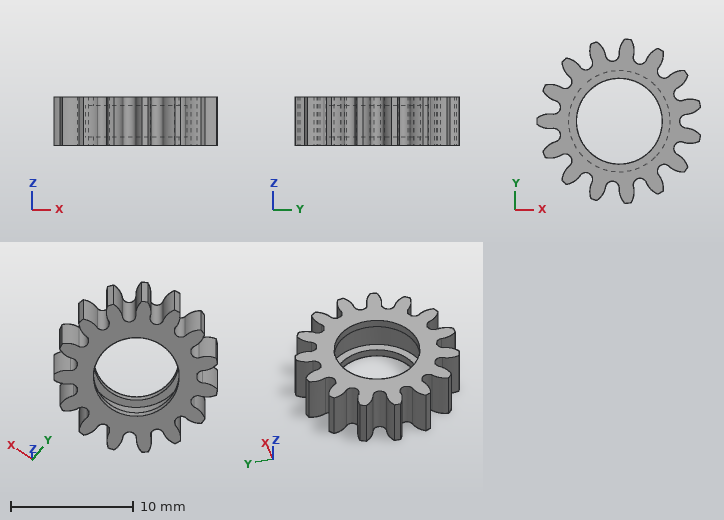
import cadquery as cq
import math

tooth_count = 15
face_width = 4.0
tip_radius = 6.75
root_radius = 4.95

tip_half_width = 0.25
flank_mid_x = 6.09
flank_mid_half_width = 0.57
flank_foot_x = 5.39
flank_foot_half_width = 0.59

bore_diameter = 7.0
groove_diameter = 8.3
lip_thickness = 0.7

tooth_pitch = 2 * math.pi / tooth_count
tip_corner_x = math.sqrt(tip_radius**2 - tip_half_width**2)


def turned(x, y, angle):
    """Turn the point (x, y) about the gear axis by angle."""
    return (
        x * math.cos(angle) - y * math.sin(angle),
        x * math.sin(angle) + y * math.cos(angle),
    )


def make_toothed_blank():
    """Solid gear whose first tooth points along -X."""
    first_angle = math.pi
    outline = cq.Workplane("XY").moveTo(*turned(flank_foot_x, -flank_foot_half_width, first_angle))
    for tooth in range(tooth_count):
        angle = first_angle + tooth * tooth_pitch
        next_angle = angle + tooth_pitch
        gap_angle = angle + tooth_pitch / 2
        outline = outline.threePointArc(
            turned(flank_mid_x, -flank_mid_half_width, angle),
            turned(tip_corner_x, -tip_half_width, angle),
        )
        outline = outline.threePointArc(
            turned(tip_radius, 0, angle),
            turned(tip_corner_x, tip_half_width, angle),
        )
        outline = outline.threePointArc(
            turned(flank_mid_x, flank_mid_half_width, angle),
            turned(flank_foot_x, flank_foot_half_width, angle),
        )
        outline = outline.threePointArc(
            turned(root_radius, 0, gap_angle),
            turned(flank_foot_x, -flank_foot_half_width, next_angle),
        )
    return outline.close().extrude(face_width)


def make_bore():
    """Through bore joined with the internal groove."""
    bore = cq.Workplane("XY").circle(bore_diameter / 2).extrude(face_width)
    groove_width = face_width - 2 * lip_thickness
    groove = (
        cq.Workplane("XY", origin=(0, 0, lip_thickness))
        .circle(groove_diameter / 2)
        .extrude(groove_width)
    )
    return bore.union(groove)


result = make_toothed_blank().cut(make_bore())